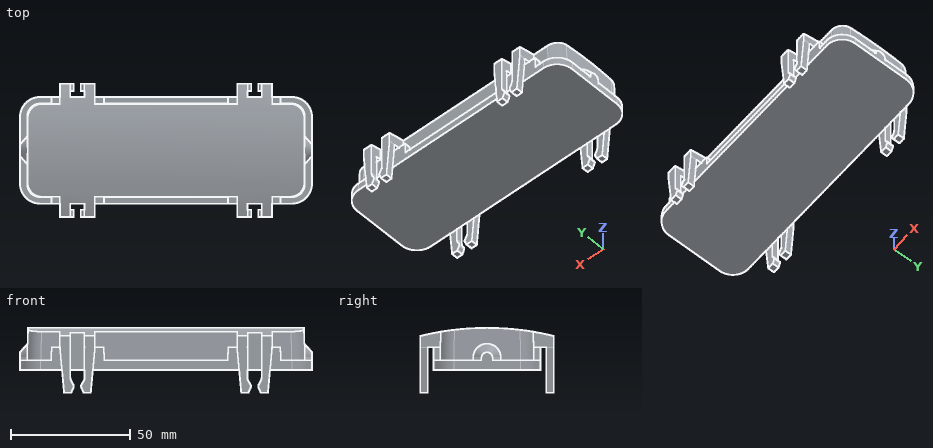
import cadquery as cq

length = 122.6
flange_width = 44.9
flange_height = 4.0
flange_corner_radius = 8.6

body_length = 116.5
body_width = 39.4
body_corner_radius = 5.6
body_draft = 1.3

clip_span = 56.0
crown_height = 17.8
crown_edge_height = 14.3

clip_offset = 37.1
arm_half_width = 7.4
arm_bottom = 9.6
slot_half_width = 3.0
leg_thickness = 3.2
leg_bottom = -9.6
leg_tip_half_width = 5.6
barb_half_gap = 1.3
barb_height = -6.7
barb_start = -3.8
barb_toe_half_gap = 2.6
barb_tip_radius = 1.2
barb_root_radius = 4.9
pad_base_half_width = 11.2
pad_top_half_width = 10.9
pad_shift = 0.1

boss_axis_height = 5.1
boss_tip_radius = 2.3
boss_length = 6.1
boss_base_radius = 9.2


def make_flange():
    plate = cq.Workplane("XY").rect(length, flange_width).extrude(flange_height)
    return plate.edges("|Z").fillet(flange_corner_radius)


def make_crown():
    """Full-length block whose top is the crowned surface."""
    half_span = clip_span / 2
    return (
        cq.Workplane("YZ")
        .moveTo(-half_span, leg_bottom)
        .lineTo(-half_span, crown_edge_height)
        .threePointArc((0, crown_height), (half_span, crown_edge_height))
        .lineTo(half_span, leg_bottom)
        .close()
        .extrude(length / 2, both=True)
    )


def make_body():
    return (
        cq.Workplane("XY")
        .workplane(offset=flange_height)
        .rect(body_length, body_width)
        .extrude(crown_height - flange_height, taper=body_draft)
        .edges("not (|X or |Y)")
        .fillet(body_corner_radius)
    )


def make_leg(side):
    """Snap leg on the outer (-1) or inner (+1) side of the slot; only the outer barb is rounded."""
    outline = [
        (arm_half_width, arm_bottom),
        (leg_tip_half_width, leg_bottom),
        (barb_toe_half_gap, leg_bottom),
        (barb_half_gap, barb_height),
        (slot_half_width, barb_start),
        (slot_half_width, arm_bottom),
    ]
    leg = (
        cq.Workplane("XZ", origin=(0, -clip_span / 2, 0))
        .polyline([(side * x, z) for x, z in outline])
        .close()
        .extrude(-leg_thickness)
    )
    if side < 0:
        edge_y = -clip_span / 2 + leg_thickness / 2
        tip = (-barb_half_gap, edge_y, barb_height)
        root = (-slot_half_width, edge_y, barb_start)
        leg = leg.edges(cq.selectors.NearestToPointSelector(tip)).fillet(barb_tip_radius)
        leg = leg.edges(cq.selectors.NearestToPointSelector(root)).fillet(barb_root_radius)
    return leg


def make_clip():
    """One clip about X = 0 on the -Y side; its arm still lacks the crowned top."""
    slot_depth = (clip_span - flange_width) / 2
    arm_height = crown_height - arm_bottom
    arm_end = cq.Workplane("XY", origin=(0, -clip_span / 2, arm_bottom))
    arm = arm_end.rect(2 * arm_half_width, clip_span).extrude(arm_height)
    slot = arm_end.rect(2 * slot_half_width, 2 * slot_depth).extrude(arm_height)
    pad = (
        cq.Workplane("XZ", origin=(pad_shift, -flange_width / 2, 0))
        .moveTo(-pad_base_half_width, flange_height)
        .lineTo(-pad_top_half_width, arm_bottom)
        .lineTo(pad_top_half_width, arm_bottom)
        .lineTo(pad_base_half_width, flange_height)
        .close()
        .extrude(-flange_width / 2)
    )
    return arm.cut(slot).union(pad).union(make_leg(-1)).union(make_leg(1))


def make_boss():
    """Boss at the -X end: a cone above its axis, carried straight down to the flange."""
    flange_end = -length / 2
    inner_end = flange_end + boss_length
    axis = cq.Workplane("XY", origin=(0, 0, boss_axis_height))
    cone = (
        axis.moveTo(flange_end, 0)
        .lineTo(flange_end, boss_tip_radius)
        .lineTo(inner_end, boss_base_radius)
        .lineTo(inner_end, 0)
        .close()
        .revolve(180, (0, 0, 0), (1, 0, 0))
    )
    skirt = (
        axis.moveTo(flange_end, -boss_tip_radius)
        .lineTo(flange_end, boss_tip_radius)
        .lineTo(inner_end, boss_base_radius)
        .lineTo(inner_end, -boss_base_radius)
        .close()
        .extrude(flange_height - boss_axis_height)
    )
    return cone.union(skirt)


clip = make_clip().translate((-clip_offset, 0, 0))
quarter = clip.union(make_boss())
half = quarter.union(quarter.mirror("YZ"))
fittings = half.union(half.mirror("XZ"))

result = make_body().union(fittings).intersect(make_crown()).union(make_flange())